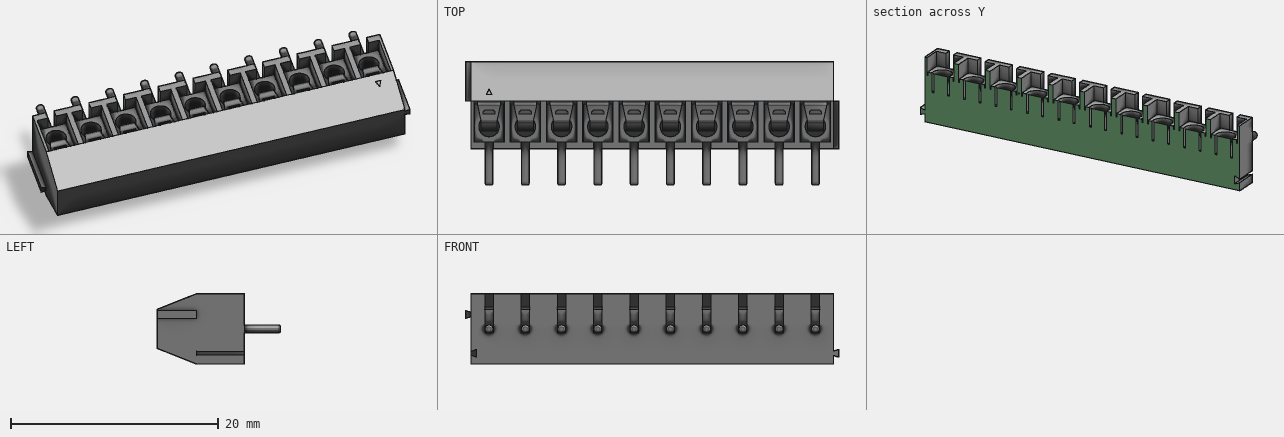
import cadquery as cq
import math

pole_count = 10
body_length = 35.0
pole_pitch = body_length / pole_count
body_depth = 8.42
body_height = 6.8
flat_depth = 4.6
back_setback = 1.5

pocket_width = 2.95
front_wall = 0.7
floor_depth = 1.5
block_width = 2.8
block_back = 4.32
gap_depth = 0.35
slot_width = 0.83

pin_diameter = 0.75
pin_length = 3.5
pin_tip_radius = 0.18
pin_height = body_height / 2

entry_diameter = 1.98
entry_y = 2.15
entry_depth = 2.0

clip_rise = 0.2
clip_bend_y = 4.2
clip_front_y = 2.75
clip_back_width = 2.2
clip_front_width = 1.55
clip_bend_radius = 0.25
clip_slope = 70
clip_slot_y = 3.55
clip_slot_length = 1.2
clip_slot_width = 0.35
clip_slot_chamfer = 0.18

tongue_reach = 0.5
tongue_width = 0.75
tongue_neck = 0.45
left_tongue_length = 3.8
left_tongue_z = 4.8
lower_dovetail_z = 1.05
groove_width = tongue_width
groove_neck = 0.35
groove_reach = 0.55

mark_width = 0.55
mark_height = 0.58
mark_y = 5.25
mark_depth = 0.07

end_x = body_length / 2
floor_z = body_height - floor_depth
clip_z = floor_z + clip_rise
entry_bottom_z = floor_z - entry_depth
pole_positions = [(i - (pole_count - 1) / 2) * pole_pitch for i in range(pole_count)]


def box(x_center, width, y_start, y_end, z_bottom, z_top):
    """Upright block centred on x_center."""
    size = (width, y_end - y_start, z_top - z_bottom)
    return cq.Workplane("XY").box(*size, centered=(True, False, False)).translate((x_center, y_start, z_bottom))


def dovetail(face_x, direction, reach, neck, width, z_center, y_start, y_end):
    """Bar along Y that widens from its neck on an end face; direction is +1 or -1 along X."""
    outer_x = face_x + direction * reach
    outline = [
        (face_x, z_center - neck / 2),
        (outer_x, z_center - width / 2),
        (outer_x, z_center + width / 2),
        (face_x, z_center + neck / 2),
    ]
    return cq.Workplane("XZ", origin=(0, y_start, 0)).polyline(outline).close().extrude(y_start - y_end)


def housing():
    """Six-sided bar with the dovetails on its ends."""
    outline = [
        (0, 0),
        (flat_depth, 0),
        (body_depth, back_setback),
        (body_depth, body_height - back_setback),
        (flat_depth, body_height),
        (0, body_height),
    ]
    bar = cq.Workplane("YZ").polyline(outline).close().extrude(end_x, both=True)
    left_tongue = dovetail(-end_x, -1, tongue_reach, tongue_neck, tongue_width,
                           left_tongue_z, body_depth - left_tongue_length, body_depth)
    right_tongue = dovetail(end_x, 1, tongue_reach, tongue_neck, tongue_width,
                            lower_dovetail_z, 0, flat_depth)
    groove = dovetail(-end_x, 1, groove_reach, groove_neck, groove_width,
                      lower_dovetail_z, 0, flat_depth)
    return bar.union(left_tongue).union(right_tongue).cut(groove)


def pole_cavity(x):
    """Open-topped pocket, pin slot through the front wall and wire entry of one pole."""
    pocket = box(x, pocket_width, front_wall, flat_depth, floor_z - gap_depth, body_height)
    block = box(x, block_width, front_wall, block_back, floor_z - gap_depth, floor_z)
    slot = box(x, slot_width, 0, front_wall, pin_height - slot_width / 2, body_height)
    entry = (
        cq.Workplane("XY", origin=(x, entry_y, entry_bottom_z))
        .circle(entry_diameter / 2)
        .extrude(entry_depth)
        .intersect(box(x, entry_diameter, 0, clip_front_y, entry_bottom_z, floor_z))
    )
    return pocket.cut(block).union(slot).union(entry)


def clip():
    """Spring clip: level tapering plate, bent down behind and sloping into the wire entry in front."""
    bend = flat_depth - clip_bend_y
    slope = math.radians(clip_slope)
    leg_y = clip_front_y - clip_bend_radius * math.sin(slope)
    leg_z = clip_z - clip_bend_radius * (1 - math.cos(slope))
    tip_y = leg_y - (leg_z - entry_bottom_z) / math.tan(slope)
    gap_z = floor_z - gap_depth
    side = (
        cq.Workplane("YZ")
        .moveTo(tip_y, entry_bottom_z)
        .lineTo(leg_y, leg_z)
        .radiusArc((clip_front_y, clip_z), clip_bend_radius)
        .lineTo(clip_bend_y, clip_z)
        .radiusArc((flat_depth, clip_z - bend), bend)
        .lineTo(flat_depth, gap_z)
        .lineTo(clip_front_y, gap_z)
        .lineTo(clip_front_y, entry_bottom_z)
        .close()
        .extrude(clip_back_width / 2, both=True)
    )
    half_front = clip_front_width / 2
    half_back = clip_back_width / 2
    plan = [
        (-half_front, tip_y),
        (half_front, tip_y),
        (half_front, clip_front_y),
        (half_back, clip_bend_y),
        (half_back, flat_depth),
        (-half_back, flat_depth),
        (-half_back, clip_bend_y),
        (-half_front, clip_front_y),
    ]
    outline = cq.Workplane("XY").polyline(plan).close().extrude(body_height)
    release_slot = (
        box(0, clip_slot_length, clip_slot_y - clip_slot_width / 2, clip_slot_y + clip_slot_width / 2,
            floor_z, clip_z)
        .edges("|Z and >Y")
        .chamfer(clip_slot_chamfer)
    )
    return side.intersect(outline).cut(release_slot)


def pin(x):
    """Round solder pin with a rounded tip, rooted in the terminal block."""
    return (
        cq.Workplane("XZ", origin=(x, front_wall, pin_height))
        .circle(pin_diameter / 2)
        .extrude(front_wall + pin_length)
        .faces("<Y")
        .fillet(pin_tip_radius)
    )


def first_pole_mark():
    """Shallow triangle sunk into the upper slope behind the first pole."""
    x = pole_positions[0]
    slope = back_setback / (body_depth - flat_depth)
    base_z = body_height - (mark_y - flat_depth) * slope
    tilt = math.degrees(math.atan(slope))
    half_width = mark_width / 2
    return (
        cq.Workplane("XY")
        .polyline([(-half_width, 0), (half_width, 0), (0, mark_height)])
        .close()
        .extrude(mark_depth, both=True)
        .rotate((0, 0, 0), (1, 0, 0), -tilt)
        .translate((x, mark_y, base_z))
    )


result = housing().cut(first_pole_mark())
pole_clip = clip()
for pole_x in pole_positions:
    result = result.cut(pole_cavity(pole_x))
    result = result.union(pole_clip.translate((pole_x, 0, 0)))
    result = result.union(pin(pole_x))